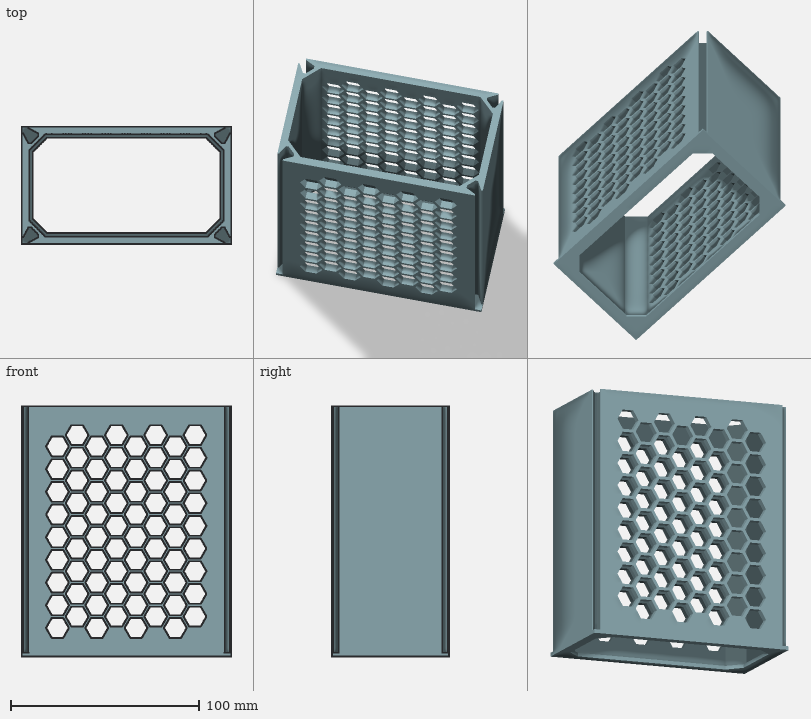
import cadquery as cq
import math

LENGTH = 111.29
WIDTH = 62.3
HEIGHT = 133.0
BASE_THICKNESS = 2.0

WALL = 4.0
CAVITY_CORNER_CUT = 8.5
LEDGE = 2.0

GROOVE_MOUTH = 3.6
GROOVE_LIP = 0.8
GROOVE_REACH = 8.8
GROOVE_FLANK_ANGLE = 28.0
GROOVE_SIDE = 1.5

HEX_CORNERS = 12.04
HEX_PITCH = HEX_CORNERS
HEX_COLUMNS = 8
HEX_ROWS = 9
HEX_CENTRE_X = -0.15
HEX_CENTRE_Z = 66.42

MARGIN = 1.0


def octagonal_prism(size_x, size_y, corner_cut, bottom, top):
    """Upright prism with a rectangular section whose four corners are cut at 45 degrees."""
    prism = cq.Workplane("XY", origin=(0, 0, bottom)).rect(size_x, size_y).extrude(top - bottom)
    return prism.edges("|Z").chamfer(corner_cut)


def make_body():
    """Thick-walled box, open at the top, with a large window through its floor."""
    block = cq.Workplane("XY").rect(LENGTH, WIDTH).extrude(HEIGHT)
    cavity_x = LENGTH - 2 * WALL
    cavity_y = WIDTH - 2 * WALL
    cavity = octagonal_prism(cavity_x, cavity_y, CAVITY_CORNER_CUT, BASE_THICKNESS, HEIGHT + MARGIN)

    window_corner_cut = CAVITY_CORNER_CUT - LEDGE * (2 - math.sqrt(2))
    window = octagonal_prism(
        cavity_x - 2 * LEDGE,
        cavity_y - 2 * LEDGE,
        window_corner_cut,
        -MARGIN,
        BASE_THICKNESS + MARGIN,
    )
    return block.cut(cavity).cut(window)


def make_groove():
    """Dovetail groove for the corner at +X +Y, widening from the corner towards the cavity."""
    flank_run = GROOVE_REACH - GROOVE_MOUTH
    flank_end = GROOVE_LIP + flank_run * math.tan(math.radians(GROOVE_FLANK_ANGLE))
    floor_start = flank_end + GROOVE_SIDE
    half_outline = [
        (-MARGIN, -MARGIN),
        (GROOVE_MOUTH, -MARGIN),
        (GROOVE_MOUTH, GROOVE_LIP),
        (GROOVE_REACH, flank_end),
        (GROOVE_REACH, floor_start),
    ]
    other_half = [(y, x) for x, y in reversed(half_outline[1:])]
    outline = [(LENGTH / 2 - x, WIDTH / 2 - y) for x, y in half_outline + other_half]
    return (
        cq.Workplane("XY", origin=(0, 0, BASE_THICKNESS))
        .polyline(outline)
        .close()
        .extrude(HEIGHT - BASE_THICKNESS + MARGIN)
    )


def make_grooves():
    """The corner groove mirrored to all four corners."""
    right_pair = make_groove()
    right_pair = right_pair.union(right_pair.mirror("XZ"))
    return right_pair.union(right_pair.mirror("YZ"))


def make_honeycomb():
    """Hexagonal prisms along Y; every second column stands half a pitch higher."""
    column_pitch = HEX_PITCH * math.sqrt(3) / 2
    stagger = HEX_PITCH / 2
    centres = []
    for column in range(HEX_COLUMNS):
        x = HEX_CENTRE_X + (column - (HEX_COLUMNS - 1) / 2) * column_pitch
        shift = stagger * (column % 2 - 0.5)
        for row in range(HEX_ROWS):
            z = HEX_CENTRE_Z + shift + (row - (HEX_ROWS - 1) / 2) * HEX_PITCH
            centres.append((x, z))
    return (
        cq.Workplane("XZ")
        .pushPoints(centres)
        .polygon(6, HEX_CORNERS)
        .extrude(WIDTH / 2 + MARGIN, both=True)
    )


result = make_body().cut(make_grooves()).cut(make_honeycomb())